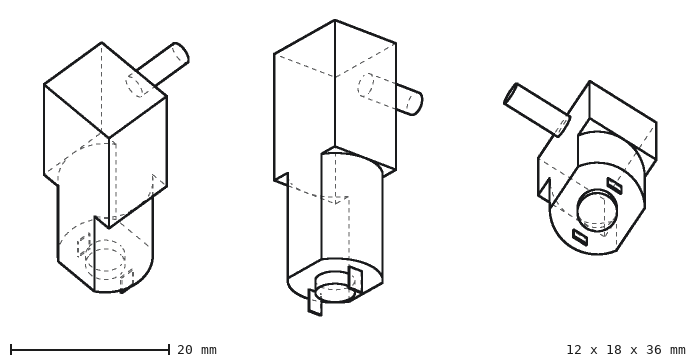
import cadquery as cq

body_width = 12.0
body_depth = 10.0
gearbox_height = 18.0

motor_diameter = body_width
motor_length = 15.0

shaft_diameter = 3.0
shaft_length = 8.0
shaft_drop = 3.5

boss_diameter = 5.0
boss_length = 1.75

terminal_thickness = 0.2
terminal_width = 2.0
terminal_length = 3.0
terminal_spacing = 8.0

motor_end_z = -motor_length


def make_gearbox():
    return cq.Workplane("XY").rect(body_width, body_depth).extrude(gearbox_height)


def make_motor():
    can = cq.Workplane("XY").circle(motor_diameter / 2).extrude(-motor_length)
    flats = cq.Workplane("XY").rect(body_width, body_depth).extrude(-motor_length)
    return can.intersect(flats)


def make_shaft():
    shaft_z = gearbox_height - shaft_drop
    return (
        cq.Workplane("XZ", origin=(0, body_depth / 2, shaft_z))
        .circle(shaft_diameter / 2)
        .extrude(-shaft_length)
    )


def make_boss():
    return (
        cq.Workplane("XY", origin=(0, 0, motor_end_z))
        .circle(boss_diameter / 2)
        .extrude(-boss_length)
    )


def make_terminal(x):
    return (
        cq.Workplane("XY", origin=(x, 0, motor_end_z))
        .rect(terminal_thickness, terminal_width)
        .extrude(-terminal_length)
    )


result = make_gearbox().union(make_motor()).union(make_shaft()).union(make_boss())
for side in (-1, 1):
    result = result.union(make_terminal(side * terminal_spacing / 2))